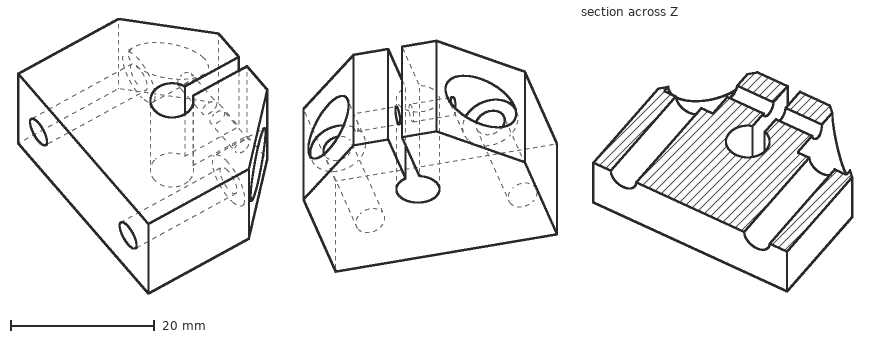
import cadquery as cq

width = 32.0
depth = 27.0
height = 16.0
corner_cut = 10.0

rod_bore_diameter = 6.0
rod_bore_from_front = 15.0
slit_width = 2.0

mount_spacing = 22.0
mount_hole_diameter = 4.15
screw_head_diameter = 8.0

clamp_hole_diameter = 2.5

back = depth / 2
front = -back
mid_height = height / 2
rod_bore_y = front + rod_bore_from_front
clamp_hole_y = back - corner_cut / 2
screw_seat_y = back - corner_cut


def rod_along_y(diameter, x, y_start, y_end):
    """Cylinder parallel to Y at mid height, between two Y positions."""
    return cq.Workplane("XY").add(
        cq.Solid.makeCylinder(
            diameter / 2,
            y_end - y_start,
            cq.Vector(x, y_start, mid_height),
            cq.Vector(0, 1, 0),
        )
    )


block = (
    cq.Workplane("XY")
    .box(width, depth, height, centered=(True, True, False))
    .edges("|Z and >Y")
    .chamfer(corner_cut)
)

rod_bore = cq.Workplane("XY").center(0, rod_bore_y).circle(rod_bore_diameter / 2).extrude(height)
slit = (
    cq.Workplane("XY")
    .center(0, (rod_bore_y + back) / 2)
    .rect(slit_width, back - rod_bore_y)
    .extrude(height)
)
result = block.cut(rod_bore).cut(slit)

for x in (-mount_spacing / 2, mount_spacing / 2):
    result = result.cut(rod_along_y(mount_hole_diameter, x, front, back))
    result = result.cut(rod_along_y(screw_head_diameter, x, screw_seat_y, back))

clamp_hole = (
    cq.Workplane("YZ")
    .center(clamp_hole_y, mid_height)
    .circle(clamp_hole_diameter / 2)
    .extrude(width / 2, both=True)
)
result = result.cut(clamp_hole)